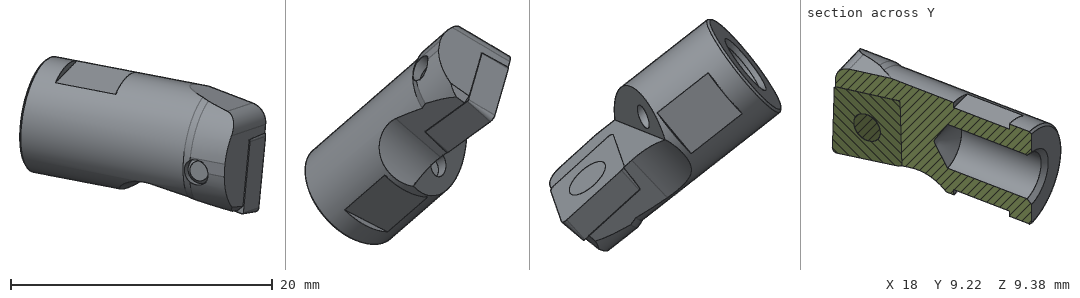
import cadquery as cq
import math

SHANK_RADIUS = 4.5
BACK_CHAMFER = 0.18
TOTAL_LENGTH = 18.0
FLAT_START = 2.0
FLAT_LENGTH = 5.0
FLAT_HEIGHT = 4.0
BORE_RADIUS = 2.1
BORE_MOUTH_RADIUS = 2.5
BORE_DEPTH = 7.56
BORE_TIP_ANGLE = 118.0
COOLANT_RADIUS = 0.9
COOLANT_START = (7.2, 2.03, -1.19)
COOLANT_DIRECTION = (1.0, 0.0, -0.4)
COOLANT_LENGTH = 3.06

HEAD_OFFSET = 0.22
TAPER_START = 13.68
HEAD_START = 14.31
FACET_TOP = 1.17
FACET_BOTTOM = 0.16

TIP_X = TOTAL_LENGTH
TIP_Z = -4.95
RAKE_TILT = 13.3
RELIEF = 7.0
EDGE_SLOPE = 10.0
FLANK_TILT = RAKE_TILT + RELIEF

INSERT_SIDE = 6.45
INSERT_THICKNESS = 2.38
NOSE_RADIUS = 0.4

SCREW_RADIUS = 1.03
SCREW_HEAD_RADIUS = 1.75
SCREW_HEAD_HEIGHT = 1.25
SCREW_LENGTH = 5.04
SCREW_END_CHAMFER = 0.25

INSERT_OVERHANG = 0.09
NOSE_CUT = 0.49
POCKET_START = 7.61
POCKET_WALL_ANGLE = 63.0
POCKET_WALL_SWING = 21.0
TOP_BEVEL_START = 12.15
TOP_CORNER_RADIUS = 1.5
GULLET_RADIUS = 3.78
GULLET_X = 10.26
FAR = 10.8

edge_tan = math.tan(math.radians(EDGE_SLOPE))
edge_cos = math.cos(math.radians(EDGE_SLOPE))
edge_sin = math.sin(math.radians(EDGE_SLOPE))
rake_cos = math.cos(math.radians(RAKE_TILT))
rake_sin = math.sin(math.radians(RAKE_TILT))


def tip_plane(tilt, lean=0.0):
    """Plane at the tip, facing -Y, tilted about X and leaned back towards -X."""
    tilt_sin, tilt_cos = math.sin(math.radians(tilt)), math.cos(math.radians(tilt))
    lean_sin, lean_cos = math.sin(math.radians(lean)), math.cos(math.radians(lean))
    return cq.Plane(
        origin=(TIP_X, 0, TIP_Z),
        xDir=(lean_cos, -lean_sin * tilt_cos, lean_sin * tilt_sin),
        normal=(-lean_sin, -lean_cos * tilt_cos, lean_cos * tilt_sin),
    )


RAKE_PLANE = tip_plane(RAKE_TILT)
INSERT_CENTER = (
    -INSERT_SIDE * edge_cos / 2,
    INSERT_SIDE * (1 + edge_sin) / 2,
)


def make_insert_blank():
    """Insert without its screw hole; also the shape of its seat in the holder."""
    edge_x, edge_y = -INSERT_SIDE * edge_cos, INSERT_SIDE * edge_sin
    corners = [(0, 0), (0, INSERT_SIDE), (edge_x, INSERT_SIDE + edge_y), (edge_x, edge_y)]
    rhombus = (
        cq.Sketch()
        .polygon([*corners, corners[0]])
        .vertices()
        .fillet(NOSE_RADIUS)
    )
    return cq.Workplane(RAKE_PLANE).placeSketch(rhombus).extrude(INSERT_THICKNESS, taper=RELIEF)


def make_screw():
    """Countersunk screw, turned upright and then set square to the rake plane."""
    profile = (
        cq.Workplane("XY")
        .moveTo(0, 0)
        .lineTo(SCREW_HEAD_RADIUS, 0)
        .lineTo(SCREW_RADIUS, SCREW_HEAD_HEIGHT)
        .lineTo(SCREW_RADIUS, SCREW_LENGTH - SCREW_END_CHAMFER)
        .lineTo(SCREW_RADIUS - SCREW_END_CHAMFER, SCREW_LENGTH)
        .lineTo(0, SCREW_LENGTH)
        .close()
    )
    upright = profile.revolve(360, (0, 0, 0), (0, 1, 0)).rotate((0, 0, 0), (1, 0, 0), 90)
    seat = cq.Workplane(RAKE_PLANE).center(*INSERT_CENTER).plane
    return cq.Workplane(upright.val().located(cq.Location(seat)))


def make_shank():
    bar = cq.Workplane("YZ").circle(SHANK_RADIUS).extrude(TOTAL_LENGTH)
    bar = bar.faces("<X").chamfer(BACK_CHAMFER)
    for side in (1, -1):
        flat = cq.Workplane("XY").box(FLAT_LENGTH, FAR, FAR, centered=(False, True, True))
        bar = bar.cut(flat.translate((FLAT_START, 0, side * (FLAT_HEIGHT + FAR / 2))))
    return bar


def make_head():
    taper = (
        cq.Workplane("YZ", origin=(TAPER_START, 0, 0))
        .circle(SHANK_RADIUS)
        .workplane(offset=HEAD_START - TAPER_START)
        .center(-HEAD_OFFSET, 0)
        .circle(SHANK_RADIUS)
        .loft(ruled=True)
    )
    head = (
        cq.Workplane("YZ", origin=(HEAD_START, -HEAD_OFFSET, 0))
        .circle(SHANK_RADIUS)
        .extrude(TOTAL_LENGTH - HEAD_START)
    )
    facet_y = [-math.sqrt(SHANK_RADIUS**2 - z**2) for z in (FACET_BOTTOM, FACET_TOP)]
    facet = (
        cq.Workplane("YZ", origin=(HEAD_START, -HEAD_OFFSET, 0))
        .moveTo(facet_y[0], FACET_BOTTOM)
        .lineTo(facet_y[1], FACET_TOP)
        .lineTo(-FAR, FACET_TOP)
        .lineTo(-FAR, FACET_BOTTOM)
        .close()
        .extrude(TOTAL_LENGTH)
    )
    return taper.union(head.cut(facet))


def make_bore():
    tip = BORE_RADIUS / math.tan(math.radians(BORE_TIP_ANGLE / 2))
    return (
        cq.Workplane("XY")
        .moveTo(0, 0)
        .lineTo(0, BORE_MOUTH_RADIUS)
        .lineTo(BORE_MOUTH_RADIUS - BORE_RADIUS, BORE_RADIUS)
        .lineTo(BORE_DEPTH, BORE_RADIUS)
        .lineTo(BORE_DEPTH + tip, 0)
        .close()
        .revolve(360, (0, 0, 0), (1, 0, 0))
    )


def make_coolant_hole():
    return cq.Workplane(
        cq.Solid.makeCylinder(
            COOLANT_RADIUS, COOLANT_LENGTH, cq.Vector(*COOLANT_START), cq.Vector(*COOLANT_DIRECTION)
        )
    )


def make_chip_pocket():
    """Everything in front of the rake plane, with a sloping run-out wall."""
    run_out = FAR / math.tan(math.radians(POCKET_WALL_ANGLE))
    swing = 2 * FAR * math.tan(math.radians(POCKET_WALL_SWING))
    upward = cq.Plane(origin=(0, 0, TIP_Z), xDir=(1, 0, 0), normal=(0, rake_sin, rake_cos))

    def section(wall_foot):
        return [
            (wall_foot, 0),
            (TOTAL_LENGTH + FAR, 0),
            (TOTAL_LENGTH + FAR, FAR),
            (wall_foot - run_out, FAR),
        ]

    return (
        cq.Workplane(upward)
        .polyline(section(POCKET_START))
        .close()
        .workplane(offset=2 * FAR)
        .polyline(section(POCKET_START + swing))
        .close()
        .loft(ruled=True)
    )


def make_end_trim():
    """Bevelled top, rounded corner and leaning end face of the head."""
    end_x = -INSERT_OVERHANG
    bevel_x = TOP_BEVEL_START - TIP_X
    bevel_y = SHANK_RADIUS - TIP_Z * rake_cos
    corner_y = bevel_y - (end_x - bevel_x) * edge_tan
    middle = math.radians((90 - EDGE_SLOPE) / 2)
    reach = TOP_CORNER_RADIUS * math.tan(middle)
    arc_middle = (
        end_x - TOP_CORNER_RADIUS * (1 - math.cos(middle)),
        corner_y - reach + TOP_CORNER_RADIUS * math.sin(middle),
    )
    return (
        cq.Workplane(tip_plane(RAKE_TILT, RELIEF))
        .moveTo(end_x, -FAR)
        .lineTo(end_x, corner_y - reach)
        .threePointArc(
            arc_middle,
            (end_x - reach * edge_cos, corner_y + reach * edge_sin),
        )
        .lineTo(end_x - FAR, corner_y + FAR * edge_tan)
        .lineTo(end_x - FAR, corner_y + FAR)
        .lineTo(FAR, corner_y + FAR)
        .lineTo(FAR, -FAR)
        .close()
        .extrude(FAR, both=True)
    )


def make_flank_cut():
    """Relief below the cutting edge, starting in a round gullet."""
    tangent_x = GULLET_X - TIP_X + GULLET_RADIUS * edge_sin
    tangent_y = INSERT_OVERHANG - tangent_x * edge_tan
    center_y = tangent_y - GULLET_RADIUS * edge_cos
    peak = (GULLET_X - TIP_X, center_y + GULLET_RADIUS)
    start = (GULLET_X - TIP_X - GULLET_RADIUS, center_y)
    return (
        cq.Workplane(tip_plane(FLANK_TILT))
        .moveTo(*start)
        .threePointArc(peak, (tangent_x, tangent_y))
        .lineTo(FAR, INSERT_OVERHANG - FAR * edge_tan)
        .lineTo(FAR, -FAR)
        .lineTo(start[0], -FAR)
        .close()
        .extrude(FAR, both=True)
    )


def make_nose_cut():
    """Corner between the end face and the flank, taken off behind the nose."""
    end_x = -INSERT_OVERHANG
    low_y = INSERT_OVERHANG + (NOSE_CUT + INSERT_OVERHANG) * edge_tan
    return (
        cq.Workplane(tip_plane(FLANK_TILT, RELIEF))
        .moveTo(end_x + NOSE_CUT, low_y + 2 * NOSE_CUT)
        .lineTo(end_x - 2 * NOSE_CUT, low_y - NOSE_CUT)
        .lineTo(end_x + NOSE_CUT, low_y - NOSE_CUT)
        .close()
        .extrude(FAR, both=True)
    )


def make_screw_hole():
    return cq.Workplane(RAKE_PLANE).center(*INSERT_CENTER).circle(SCREW_RADIUS).extrude(FAR)


insert_blank = make_insert_blank()
screw = make_screw()
insert = insert_blank.cut(screw)

holder = make_shank().union(make_head())
for cutter in (
    make_bore(),
    make_coolant_hole(),
    make_chip_pocket(),
    make_end_trim(),
    make_flank_cut(),
    make_nose_cut(),
    insert_blank,
    make_screw_hole(),
):
    holder = holder.cut(cutter)

result = cq.Compound.makeCompound([*holder.solids().vals(), *insert.solids().vals(), *screw.solids().vals()])